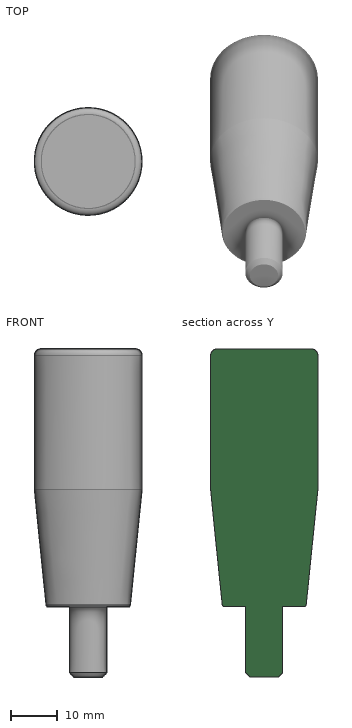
import cadquery as cq

total_height = 70.0
grip_diameter = 22.95

stud_diameter = 8.0
stud_length = 15.0
stud_chamfer = 1.0

grip_base_diameter = 18.0
base_edge_inset = 0.2
base_edge_height = 0.4
shoulder_height = 40.0
top_edge_radius = 1.5

grip_radius = grip_diameter / 2
stud_radius = stud_diameter / 2
tip_radius = stud_radius - stud_chamfer
base_radius = grip_base_diameter / 2
top_face_radius = grip_radius - top_edge_radius
top_edge_height = total_height - top_edge_radius

profile = (
    cq.Workplane("XZ")
    .lineTo(tip_radius, 0)
    .lineTo(stud_radius, stud_chamfer)
    .lineTo(stud_radius, stud_length)
    .lineTo(base_radius - base_edge_inset, stud_length)
    .lineTo(base_radius, stud_length + base_edge_height)
    .lineTo(grip_radius, shoulder_height)
    .lineTo(grip_radius, top_edge_height)
    .radiusArc((top_face_radius, total_height), -top_edge_radius)
    .lineTo(0, total_height)
    .close()
)

result = profile.revolve(360, (0, 0, 0), (0, 1, 0))